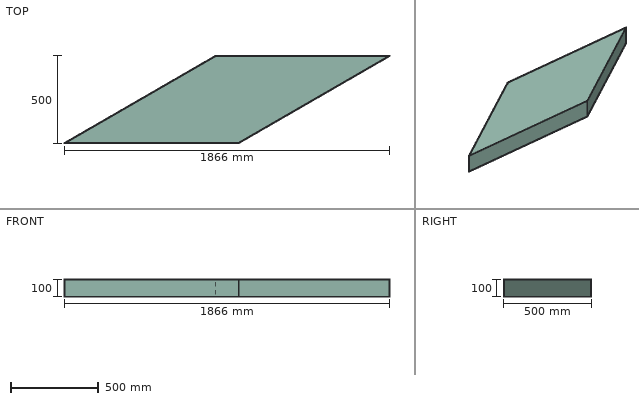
import cadquery as cq
import math

overall_length = 1866.0
sharp_angle = math.radians(30)
thickness = 100.0

side = overall_length / (1 + math.cos(sharp_angle))
lean = side * math.cos(sharp_angle)
depth = side * math.sin(sharp_angle)

rhombus = [
    (0, 0),
    (side, 0),
    (overall_length, depth),
    (lean, depth),
]
result = cq.Workplane("XY").polyline(rhombus).close().extrude(thickness)